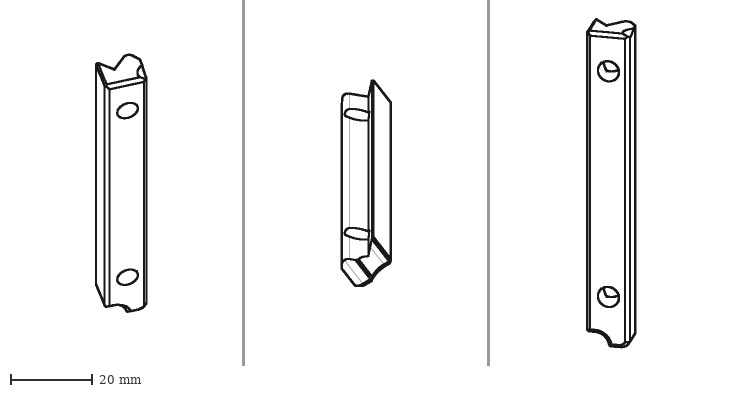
import math

import cadquery as cq

WIDTH = 9.07
DEPTH = 10.79
LENGTH = 83.46

TIP_X = 0.5
TIP_HEIGHT = 0.5
NOTCH_APEX_Y = 3.8
NOSE_RADIUS = 1.5
NOSE_SLOPE = math.radians(38)

STEP_RADIUS = 3.45
STEP_CENTER_Y = 2.1
EDGE_CHAMFER = 0.5
HEEL_RADIUS = 2.6
HEEL_CENTER_Y = 8.36

SIDE_CHAMFER = 0.95
SIDE_CHAMFER_ANGLE = 45.0

HOLE_DIAMETER = 5.3
HOLE_Y = 5.6
HOLE_SPACING = 60.0
HOLE_TOP_OFFSET = 10.0

GROOVE_RADIUS = 5.2
GROOVE_X = 7.1
GROOVE_FRONT_Y = 8.8
GROOVE_TILT = 65.0


def bar_section():
    """Cross-section in the XY plane, extruded along the full length."""
    apex_x = TIP_X + NOTCH_APEX_Y - TIP_HEIGHT
    nose_center_x = NOSE_RADIUS
    nose_center_y = apex_x + NOTCH_APEX_Y - nose_center_x + NOSE_RADIUS * math.sqrt(2)
    diagonal = NOSE_RADIUS / math.sqrt(2)
    nose_low = (nose_center_x - diagonal, nose_center_y - diagonal)
    nose_high = (
        nose_center_x - NOSE_RADIUS * math.sin(NOSE_SLOPE),
        nose_center_y + NOSE_RADIUS * math.cos(NOSE_SLOPE),
    )
    slope_end_x = nose_high[0] + (DEPTH - nose_high[1]) / math.tan(NOSE_SLOPE)
    return (
        cq.Workplane("XY")
        .moveTo(TIP_X, 0)
        .lineTo(TIP_X, TIP_HEIGHT)
        .lineTo(apex_x, NOTCH_APEX_Y)
        .lineTo(*nose_low)
        .threePointArc((0, nose_center_y), nose_high)
        .lineTo(slope_end_x, DEPTH)
        .lineTo(WIDTH, DEPTH)
        .lineTo(WIDTH, 0)
        .close()
        .extrude(LENGTH)
    )


def end_outline(offset_x):
    """Closed outline of the bar along its length, in the YZ plane at offset_x."""
    diagonal = STEP_RADIUS / math.sqrt(2)
    heel_angle = math.asin((DEPTH - HEEL_CENTER_Y) / HEEL_RADIUS)

    def heel_point(angle):
        return (
            HEEL_CENTER_Y + HEEL_RADIUS * math.sin(angle),
            HEEL_RADIUS * (1 - math.cos(angle)),
        )

    return (
        cq.Workplane("YZ", origin=(offset_x, 0, 0))
        .moveTo(0, LENGTH)
        .lineTo(0, STEP_RADIUS)
        .lineTo(STEP_CENTER_Y, STEP_RADIUS)
        .threePointArc((STEP_CENTER_Y + diagonal, diagonal), (STEP_CENTER_Y + STEP_RADIUS, 0))
        .lineTo(HEEL_CENTER_Y, 0)
        .threePointArc(heel_point(heel_angle / 2), heel_point(heel_angle))
        .lineTo(DEPTH, LENGTH)
        .close()
    )


def end_shape():
    """Prism that shapes both ends, beveled all around the +X face."""
    straight_width = WIDTH - SIDE_CHAMFER
    straight = end_outline(0).extrude(straight_width)
    bevel = end_outline(straight_width).extrude(SIDE_CHAMFER, taper=SIDE_CHAMFER_ANGLE)
    return straight.union(bevel)


def edge_chamfers():
    """Diamond prisms along X that bevel the end edges of the lip and the step edge."""
    edges = [(0, LENGTH), (0, STEP_RADIUS), (STEP_CENTER_Y + STEP_RADIUS, 0)]
    return (
        cq.Workplane("YZ")
        .pushPoints(edges)
        .polygon(4, 2 * EDGE_CHAMFER)
        .extrude(WIDTH)
    )


def cross_holes():
    """Two round through holes along X."""
    top_z = LENGTH - HOLE_TOP_OFFSET
    return (
        cq.Workplane("YZ")
        .pushPoints([(HOLE_Y, top_z), (HOLE_Y, top_z - HOLE_SPACING)])
        .circle(HOLE_DIAMETER / 2)
        .extrude(WIDTH)
    )


def slanted_groove():
    """Cylinder sinking toward +Y, cutting a scoop into the upper +Y edge."""
    reach = 2 * DEPTH
    axis_y = GROOVE_FRONT_Y + GROOVE_RADIUS / math.cos(math.radians(GROOVE_TILT))
    return (
        cq.Workplane("XY")
        .circle(GROOVE_RADIUS)
        .extrude(reach, both=True)
        .rotate((0, 0, 0), (1, 0, 0), GROOVE_TILT)
        .translate((GROOVE_X, axis_y, LENGTH))
    )


bar = bar_section().intersect(end_shape())
result = bar.cut(edge_chamfers()).cut(cross_holes()).cut(slanted_groove())